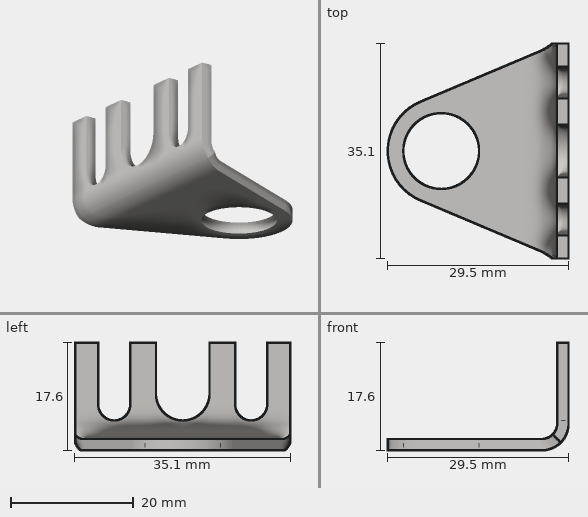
import cadquery as cq
import math

length = 29.48
width = 35.05
height = 17.55
thickness = 1.9
inner_bend_radius = 2.5
nose_radius = 8.73
hole_diameter = 12.3
centre_slot_width = 8.7
side_slot_width = 5.2
side_slot_offset = 11.15
slot_floor_height = 4.9
taper_end_angle = math.radians(45)

half_width = width / 2
outer_bend_radius = inner_bend_radius + thickness
middle_bend_radius = inner_bend_radius + thickness / 2
wall_outer_x = length - nose_radius
wall_inner_x = wall_outer_x - thickness
bend_x = wall_outer_x - outer_bend_radius
bend_z = outer_bend_radius

taper_end_x = bend_x + middle_bend_radius * taper_end_angle
taper_angle = math.atan2(half_width, taper_end_x) - math.asin(
    nose_radius / math.hypot(taper_end_x, half_width)
)
taper_slope = math.tan(taper_angle)
bend_half_width = half_width - taper_slope * (taper_end_x - bend_x)
tangent_x = -nose_radius * math.sin(taper_angle)
tangent_y = nose_radius * math.cos(taper_angle)


def bend_point(radius, angle, y):
    """Point in the bend; angle zero is at the base, a right angle at the wall."""
    return cq.Vector(bend_x + radius * math.sin(angle), y, bend_z - radius * math.cos(angle))


def make_base():
    return (
        cq.Workplane("XY")
        .moveTo(bend_x, -bend_half_width)
        .lineTo(bend_x, bend_half_width)
        .lineTo(tangent_x, tangent_y)
        .threePointArc((-nose_radius, 0), (tangent_x, -tangent_y))
        .close()
        .extrude(thickness)
        .faces("<Z")
        .workplane(origin=(0, 0, 0))
        .hole(hole_diameter)
    )


def taper_edge(radius, side):
    """Helical edge whose width grows evenly with the bend angle."""
    samples = 9
    points = []
    for i in range(samples):
        angle = taper_end_angle * i / (samples - 1)
        y = bend_half_width + taper_slope * middle_bend_radius * angle
        points.append(bend_point(radius, angle, side * y))
    return cq.Edge.makeSpline(points)


def end_face(angle, y):
    corners = [
        bend_point(inner_bend_radius, angle, -y),
        bend_point(outer_bend_radius, angle, -y),
        bend_point(outer_bend_radius, angle, y),
        bend_point(inner_bend_radius, angle, y),
    ]
    return cq.Face.makeFromWires(cq.Wire.makePolygon(corners, close=True))


def make_tapered_bend():
    edges = [
        taper_edge(inner_bend_radius, -1),
        taper_edge(outer_bend_radius, -1),
        taper_edge(outer_bend_radius, 1),
        taper_edge(inner_bend_radius, 1),
    ]
    faces = [cq.Face.makeRuledSurface(edges[i - 1], edges[i]) for i in range(len(edges))]
    faces.append(end_face(0, bend_half_width))
    faces.append(end_face(taper_end_angle, half_width))
    return cq.Workplane(cq.Solid.makeSolid(cq.Shell.makeShell(faces)).fix())


def make_full_width_bend():
    middle_angle = (taper_end_angle + math.pi / 2) / 2

    def profile_point(radius, angle):
        point = bend_point(radius, angle, 0)
        return (point.x, point.z)

    return (
        cq.Workplane("XZ")
        .moveTo(*profile_point(outer_bend_radius, taper_end_angle))
        .threePointArc(
            profile_point(outer_bend_radius, middle_angle),
            profile_point(outer_bend_radius, math.pi / 2),
        )
        .lineTo(*profile_point(inner_bend_radius, math.pi / 2))
        .threePointArc(
            profile_point(inner_bend_radius, middle_angle),
            profile_point(inner_bend_radius, taper_end_angle),
        )
        .close()
        .extrude(half_width, both=True)
    )


def make_slot(y, slot_width):
    """Open-topped slot through the wall with a round floor."""
    radius = slot_width / 2
    return (
        cq.Workplane("YZ", origin=(wall_inner_x, y, 0))
        .moveTo(-radius, height)
        .lineTo(-radius, slot_floor_height + radius)
        .threePointArc((0, slot_floor_height), (radius, slot_floor_height + radius))
        .lineTo(radius, height)
        .close()
        .extrude(thickness)
    )


def make_wall():
    wall = cq.Workplane("XY").box(
        thickness, width, height - bend_z, centered=(False, True, False)
    ).translate((wall_inner_x, 0, bend_z))
    slots = [
        (-side_slot_offset, side_slot_width),
        (0, centre_slot_width),
        (side_slot_offset, side_slot_width),
    ]
    for y, slot_width in slots:
        wall = wall.cut(make_slot(y, slot_width))
    return wall


bend = make_tapered_bend().union(make_full_width_bend())
result = make_base().union(bend).union(make_wall()).solids()